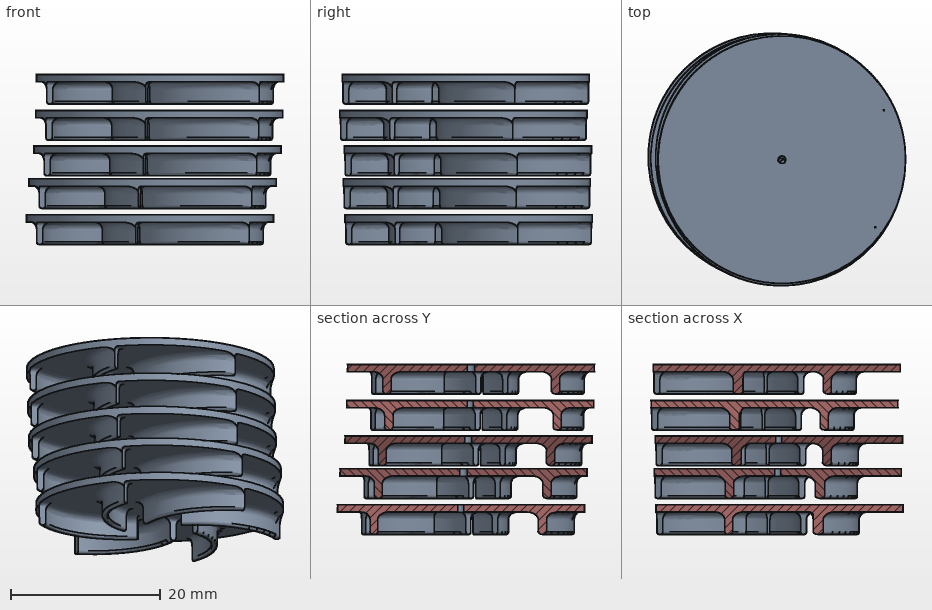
import cadquery as cq
import math

DISC_DIAMETER = 33.0
DISC_THICKNESS = 1.0
BORE_DIAMETER = 1.0
BLANK_DIAMETER = 37.75

VANE_COUNT = 6
VANE_HEIGHT = 3.0
VANE_THICKNESS = 0.8
CONVEX_RADIUS = 11.98
CONCAVE_RADIUS = CONVEX_RADIUS - VANE_THICKNESS
ARC_CENTER = (-3.25, -8.38)

IMPELLER_HEIGHT = VANE_HEIGHT + DISC_THICKNESS

CONVEX_TIP_ANGLE = 171.3
CONCAVE_TIP_ANGLE = 169.8
ROOT_ANGLE = 91.4
SPARE_ANGLE = 8.0

SIDE_FILLET = 1.0
END_FILLET = 0.48
FREE_EDGE_FILLET = 0.38

CUTTER_REACH = 4.12
CUTTER_WIDTH = 6.85

IMPELLER_PLACES = [
    (0, 0, 0),
    (0.35, -0.25, 4.8),
    (1.0, -0.1, 9.15),
    (1.25, -0.7, 13.9),
    (1.35, -0.38, 18.7),
]


def circle_point(center, radius, angle):
    """Return the point of a circle at an angle in degrees."""
    turn = math.radians(angle)
    return (center[0] + radius * math.cos(turn), center[1] + radius * math.sin(turn))


def make_vane_sweep():
    """Sweep the cross-section of a vane, with its side fillets, along the vane arc."""
    fillet_base = VANE_HEIGHT - SIDE_FILLET
    concave_flare = CONCAVE_RADIUS - SIDE_FILLET
    convex_flare = CONVEX_RADIUS + SIDE_FILLET
    concave_edge_center = (CONCAVE_RADIUS + FREE_EDGE_FILLET, FREE_EDGE_FILLET)
    convex_edge_center = (CONVEX_RADIUS - FREE_EDGE_FILLET, FREE_EDGE_FILLET)
    sweep_start = ROOT_ANGLE - SPARE_ANGLE
    sweep_angle = CONVEX_TIP_ANGLE + SPARE_ANGLE - sweep_start
    section = (
        cq.Workplane("XZ")
        .moveTo(concave_flare, IMPELLER_HEIGHT)
        .lineTo(concave_flare, VANE_HEIGHT)
        .threePointArc(
            circle_point((concave_flare, fillet_base), SIDE_FILLET, 45),
            (CONCAVE_RADIUS, fillet_base),
        )
        .lineTo(CONCAVE_RADIUS, FREE_EDGE_FILLET)
        .threePointArc(
            circle_point(concave_edge_center, FREE_EDGE_FILLET, 225),
            (concave_edge_center[0], 0),
        )
        .lineTo(convex_edge_center[0], 0)
        .threePointArc(
            circle_point(convex_edge_center, FREE_EDGE_FILLET, 315),
            (CONVEX_RADIUS, FREE_EDGE_FILLET),
        )
        .lineTo(CONVEX_RADIUS, fillet_base)
        .threePointArc(
            circle_point((convex_flare, fillet_base), SIDE_FILLET, 135),
            (convex_flare, VANE_HEIGHT),
        )
        .lineTo(convex_flare, IMPELLER_HEIGHT)
        .close()
    )
    return (
        section.revolve(sweep_angle, (0, 0, 0), (0, -1, 0))
        .rotate((0, 0, 0), (0, 0, 1), sweep_start + sweep_angle)
        .translate((*ARC_CENTER, 0))
    )


def make_end_cutter(left_corner, right_corner):
    """Make the space beyond a flat vane end, given its corners as seen looking out from the vane."""
    across_x = right_corner[0] - left_corner[0]
    across_y = right_corner[1] - left_corner[1]
    middle_x = (left_corner[0] + right_corner[0]) / 2
    middle_y = (left_corner[1] + right_corner[1]) / 2
    end_plane = cq.Plane(
        origin=(middle_x, middle_y, 0),
        xDir=(-across_y, across_x, 0),
        normal=(across_x, across_y, 0),
    )
    fillet_base = VANE_HEIGHT - END_FILLET
    return (
        cq.Workplane(end_plane)
        .lineTo(CUTTER_REACH, 0)
        .lineTo(CUTTER_REACH, VANE_HEIGHT)
        .lineTo(END_FILLET, VANE_HEIGHT)
        .threePointArc(circle_point((END_FILLET, fillet_base), END_FILLET, 135), (0, fillet_base))
        .close()
        .extrude(CUTTER_WIDTH / 2, both=True)
    )


def make_vane():
    """Make one vane, together with the part of the disc that it grows from."""
    tip_cutter = make_end_cutter(
        circle_point(ARC_CENTER, CONCAVE_RADIUS, CONCAVE_TIP_ANGLE),
        circle_point(ARC_CENTER, CONVEX_RADIUS, CONVEX_TIP_ANGLE),
    )
    root_cutter = make_end_cutter(
        circle_point(ARC_CENTER, CONVEX_RADIUS, ROOT_ANGLE),
        circle_point(ARC_CENTER, CONCAVE_RADIUS, ROOT_ANGLE),
    )
    return make_vane_sweep().cut(tip_cutter).cut(root_cutter)


def make_impeller():
    """Make the disc with its ring of vanes, trimmed to the rim and the bore."""
    body = cq.Workplane("XY").workplane(offset=VANE_HEIGHT).circle(BLANK_DIAMETER / 2).extrude(DISC_THICKNESS)
    vane = make_vane()
    for index in range(VANE_COUNT):
        body = body.union(vane.rotate((0, 0, 0), (0, 0, 1), index * 360 / VANE_COUNT))
    envelope = cq.Workplane("XY").circle(DISC_DIAMETER / 2).circle(BORE_DIAMETER / 2).extrude(IMPELLER_HEIGHT)
    return body.intersect(envelope)


impeller = make_impeller()
impellers = [impeller.translate(place).solids().val() for place in IMPELLER_PLACES]
result = cq.Compound.makeCompound(impellers)